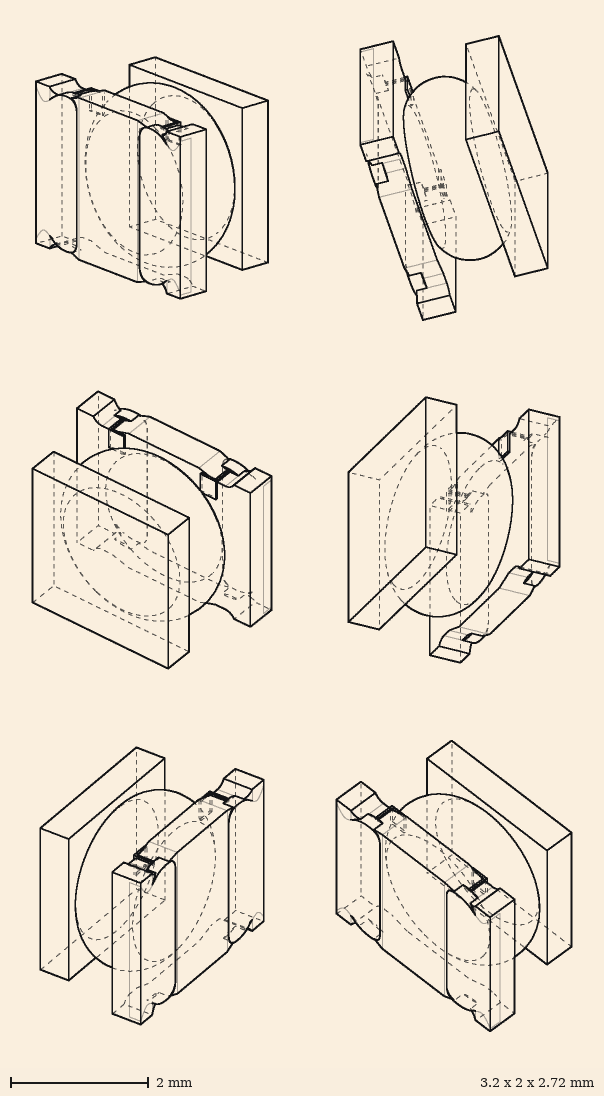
import cadquery as cq

LENGTH = 3.2
HALF_LENGTH = LENGTH / 2
DEPTH = 2.0
FLANGE_THICKNESS = DEPTH / 4
FLANGE_HEIGHT = DEPTH * 1.25
HALF_HEIGHT = FLANGE_HEIGHT / 2
REAR_FLANGE_WIDTH = FLANGE_HEIGHT

FRONT_Y = -DEPTH / 2
FLANGE_BACK_Y = FRONT_Y + FLANGE_THICKNESS
WINDING_HALF_WIDTH = DEPTH / 2 - FLANGE_THICKNESS
WINDING_RADIUS = 1.36
WINDING_SIDE_RADIUS = 1.075

NOTCH_INNER_X = 0.645
NOTCH_OUTER_X = 1.295
NOTCH_FLOOR_Z = 1.152
NOTCH_FLOOR_INNER_X = 0.96
NOTCH_FLOOR_OUTER_X = 1.135

HOLLOW_DEPTH = 0.045
HOLLOW_DEEPEST_X = 1.142

PAD_THICKNESS = 0.2
PAD_INNER_X = 0.695
PAD_CORNER_Z = 1.015
PAD_EDGE_POINTS = [
    (0.822, 1.187),
    (0.895, 1.197),
    (1.142, 1.152),
    (1.295, 1.05),
    (1.425, 0.995),
    (1.515, 1.055),
    (HALF_LENGTH, 1.187),
]

WIRE_THICKNESS = 0.035
WIRE_OUTER_X = 0.99
WIRE_TAIL_INNER_X = 0.705
WIRE_TOP_Z = NOTCH_FLOOR_Z + WIRE_THICKNESS
WIRE_BOTTOM_Z = 0.848


def make_box(x_range, y_range, z_range):
    """Box between the low and high limits along each axis."""
    lows, highs = zip(x_range, y_range, z_range)
    sizes = [high - low for low, high in zip(lows, highs)]
    return cq.Workplane("XY").box(*sizes, centered=False).translate(lows)


def front_profile(y):
    """XZ plane at the given y; a negative extrusion runs backward, toward +Y."""
    return cq.Workplane("XZ", origin=(0, y, 0))


def make_winding():
    """Solid of revolution about Y with a bulging rim."""
    return (
        cq.Workplane("XY")
        .moveTo(0, -WINDING_HALF_WIDTH)
        .lineTo(WINDING_SIDE_RADIUS, -WINDING_HALF_WIDTH)
        .threePointArc((WINDING_RADIUS, 0), (WINDING_SIDE_RADIUS, WINDING_HALF_WIDTH))
        .lineTo(0, WINDING_HALF_WIDTH)
        .close()
        .revolve(360, (0, 0, 0), (0, 1, 0))
    )


def make_notch():
    """Cutter for the upper notch on the +X side."""
    return (
        front_profile(FRONT_Y)
        .moveTo(NOTCH_INNER_X, HALF_HEIGHT)
        .lineTo(NOTCH_FLOOR_INNER_X, NOTCH_FLOOR_Z)
        .lineTo(NOTCH_FLOOR_OUTER_X, NOTCH_FLOOR_Z)
        .tangentArcPoint((NOTCH_OUTER_X, HALF_HEIGHT), relative=False)
        .close()
        .extrude(-FLANGE_THICKNESS)
    )


def make_hollow():
    """Cutter for the shallow front hollow on the +X side, over the full flange height."""
    return (
        cq.Workplane("XY", origin=(0, 0, -HALF_HEIGHT))
        .moveTo(NOTCH_INNER_X, FRONT_Y)
        .lineTo(HOLLOW_DEEPEST_X, FRONT_Y + HOLLOW_DEPTH)
        .lineTo(NOTCH_OUTER_X, FRONT_Y)
        .close()
        .extrude(FLANGE_HEIGHT)
    )


def make_pad():
    """Solder pad on the +X side, with wavy upper and lower edges."""
    upper = [(PAD_INNER_X, PAD_CORNER_Z)] + PAD_EDGE_POINTS
    lower = [(x, -z) for x, z in reversed(upper)]
    return (
        front_profile(FRONT_Y)
        .moveTo(*upper[0])
        .spline(upper[1:], includeCurrent=True)
        .lineTo(*lower[0])
        .spline(lower[1:], includeCurrent=True)
        .close()
        .extrude(-PAD_THICKNESS)
    )


def make_wire():
    """Wire end on the +X side: a strip along the notch floor and a flat tail behind the flange."""
    back_y = FLANGE_BACK_Y + WIRE_THICKNESS
    strip = make_box(
        (WIRE_OUTER_X - WIRE_THICKNESS, WIRE_OUTER_X),
        (FRONT_Y + PAD_THICKNESS, back_y),
        (WIRE_BOTTOM_Z, WIRE_TOP_Z),
    )
    tail = make_box(
        (WIRE_TAIL_INNER_X, WIRE_OUTER_X),
        (FLANGE_BACK_Y, back_y),
        (WIRE_BOTTOM_Z, WIRE_TOP_Z),
    )
    return strip.union(tail)


def both_sides(half):
    """The +X feature together with its mirror image on the -X side."""
    return [half, half.mirror("YZ")]


front_flange = make_box(
    (-HALF_LENGTH, HALF_LENGTH), (FRONT_Y, FLANGE_BACK_Y), (-HALF_HEIGHT, HALF_HEIGHT)
)
rear_flange = make_box(
    (-REAR_FLANGE_WIDTH / 2, REAR_FLANGE_WIDTH / 2),
    (WINDING_HALF_WIDTH, DEPTH / 2),
    (-HALF_HEIGHT, HALF_HEIGHT),
)

for notch in both_sides(make_notch()):
    front_flange = front_flange.cut(notch).cut(notch.mirror("XY"))
for hollow in both_sides(make_hollow()):
    front_flange = front_flange.cut(hollow)

result = front_flange.union(make_winding()).union(rear_flange)
for wire in both_sides(make_wire()):
    result = result.union(wire)
for pad in both_sides(make_pad()):
    result = result.cut(pad, clean=False).union(pad, clean=False)